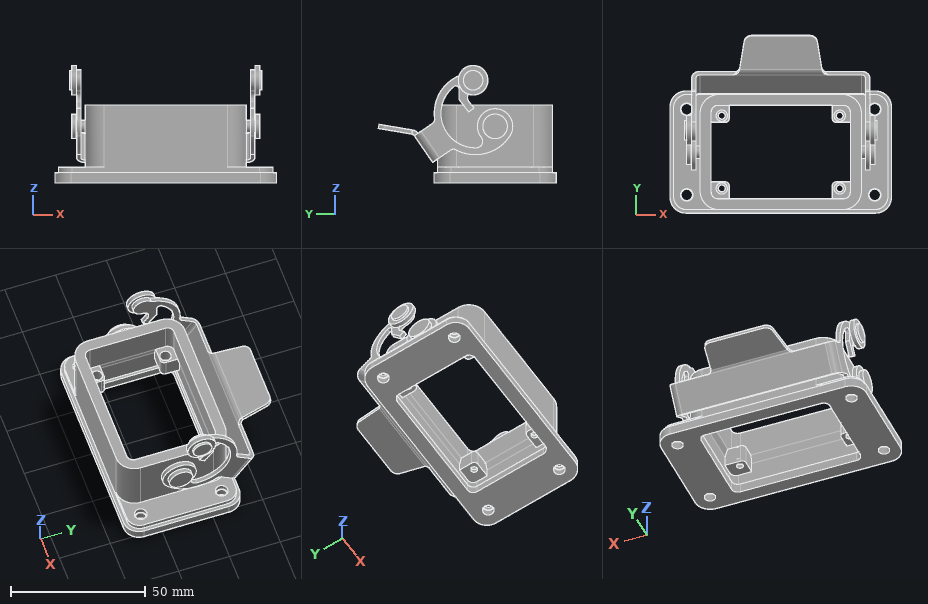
import cadquery as cq
import math

base_x = 82.5
base_y = 45.5
flange_h = 3.9
flange_r = 6.0
step_inset = 1.3
step_top = 5.9
step_r = 5.0
mount_hole_d = 4.2
mount_recess_d = 4.6
mount_recess_depth = 2.4
mount_hole_x = 35.0
mount_hole_y = 15.9

housing_x = 60.1
housing_y = base_y - 2 * step_inset
housing_top = 29.1
housing_r = 7.1
opening_x = 51.7
opening_y = 34.7
opening_r = 2.5

undercut_x = 1.1
undercut_y = 0.75
undercut_straight_top = 13.2
undercut_top = 16.8

boss_x = 6.8
boss_y = 6.35
boss_bottom = 9.15
boss_top = 16.75
boss_embed = 0.25
boss_r = 1.65
screw_x = 21.95
screw_y = 13.5
screw_d = 2.5
screw_bore_d = 4.2
screw_bore_depth = 5.8

sheet = 1.65
lever_outer_x = 33.2
lever_inner_x = lever_outer_x - sheet
bend_inner_r = 1.4
bend_outer_r = bend_inner_r + sheet

ring_y = 7.35
ring_z = 25.9
ring_outer_r = 15.35
ring_inner_r = 12.8

pivot_y = 0.0
pivot_z = 21.1
pivot_d = 4.7
pivot_embed = 0.8
pivot_head_d = 9.15
pivot_head_inner_x = 33.3
pivot_head_outer_x = 35.0
pivot_eye_r = ring_outer_r - math.hypot(ring_y - pivot_y, ring_z - pivot_z)

roller_y = 8.2
roller_z = 38.3
roller_r = 5.5
roller_outer_x = pivot_head_outer_x
roller_cap_r = 3.6
roller_cap_outer_x = 35.8
roller_eye_r = 4.0

eye_fillet = 2.4
tail_fillet = 1.15
neck_fillet = 1.65

tail_left_y = 13.45
tail_slant = 51.7
tail_tip_length = 3.0
tail_tip_width = 2.5
throat_r = 2.5
throat_y = 7.75
throat_z = roller_z - math.sqrt((roller_eye_r + throat_r) ** 2 - (roller_y - throat_y) ** 2)

yoke_tilt = -34.5
yoke_width = 12.05
yoke_reach = 23.4

tab_tilt = 9.6
tab_end_y = 43.5
tab_tip_half = 13.3
tab_root_half = 15.35
tab_flare_half = 18.3
tab_flare_r = 2.8
tab_tip_r = 2.9


def rounded_block(size_x, size_y, radius, z_from, z_to):
    return (cq.Workplane("XY").workplane(offset=z_from).rect(size_x, size_y)
            .extrude(z_to - z_from).edges("|Z").fillet(radius))


def four_corners(x, y):
    return [(sx * x, sy * y) for sx in (-1, 1) for sy in (-1, 1)]


def disc(y, z, radius, x_from, x_to):
    return (cq.Workplane("YZ").workplane(offset=x_from).center(y, z)
            .circle(radius).extrude(x_to - x_from))


def lever_point(u, v):
    """Y and Z of a point u along the yoke arms and v across them, from the ring centre."""
    tilt = math.radians(yoke_tilt)
    return (ring_y + u * math.cos(tilt) - v * math.sin(tilt),
            ring_z + u * math.sin(tilt) + v * math.cos(tilt))


def ring_point(radius, angle):
    return (ring_y + radius * math.cos(angle), ring_z + radius * math.sin(angle))


def make_base():
    flange = rounded_block(base_x, base_y, flange_r, 0, flange_h)
    step = rounded_block(base_x - 2 * step_inset, housing_y, step_r, 0, step_top)
    return (flange.union(step).faces(">Z").workplane(origin=(0, 0, 0))
            .pushPoints(four_corners(mount_hole_x, mount_hole_y))
            .cboreHole(mount_hole_d, mount_recess_d, mount_recess_depth))


def make_cavity():
    wide_x = opening_x + 2 * undercut_x
    wide_y = opening_y + 2 * undercut_y
    opening = rounded_block(opening_x, opening_y, opening_r, 0, housing_top)
    undercut = rounded_block(wide_x, wide_y, opening_r, flange_h, undercut_straight_top)
    wide = cq.Sketch().rect(wide_x, wide_y).vertices().fillet(opening_r)
    narrow = cq.Sketch().rect(opening_x, opening_y).vertices().fillet(opening_r)
    rise = cq.Location(cq.Vector(0, 0, undercut_top - undercut_straight_top))
    slope = (cq.Workplane("XY").workplane(offset=undercut_straight_top)
             .placeSketch(wide, narrow.moved(rise)).loft())
    return opening.union(undercut).union(slope)


def make_boss(side_x, side_y):
    inner_x = opening_x / 2 - boss_x
    inner_y = opening_y / 2 - boss_y
    reach_x = boss_x + undercut_x + boss_embed
    reach_y = boss_y + undercut_y + boss_embed
    block = (cq.Workplane("XY").workplane(offset=boss_bottom)
             .center(side_x * (inner_x + reach_x / 2), side_y * (inner_y + reach_y / 2))
             .rect(reach_x, reach_y).extrude(boss_top - boss_bottom))
    corner = cq.NearestToPointSelector((side_x * inner_x, side_y * inner_y, (boss_bottom + boss_top) / 2))
    block = block.edges("|Z").edges(corner).fillet(boss_r)
    return (block.faces(">Z").workplane(origin=(side_x * screw_x, side_y * screw_y, 0))
            .cboreHole(screw_d, screw_bore_d, screw_bore_depth))


def make_tail():
    """Hooked tail hanging from the roller eye, with its throat tangent to the eye."""
    slant = math.radians(tail_slant)
    along = (math.cos(slant), math.sin(slant))
    across = (math.sin(slant), -math.cos(slant))
    bend_y = throat_y + throat_r * across[0]
    bend_z = throat_z + throat_r * across[1]
    tip_y = bend_y - tail_tip_length * along[0]
    tip_z = bend_z - tail_tip_length * along[1]
    heel_y = tip_y + tail_tip_width * across[0]
    heel_z = tip_z + tail_tip_width * across[1]
    knee_z = heel_z + (tail_left_y - heel_y) * math.tan(slant)
    touch = throat_r / (throat_r + roller_eye_r)
    touch_y = throat_y + touch * (roller_y - throat_y)
    touch_z = throat_z + touch * (roller_z - throat_z)
    return (cq.Workplane("YZ").workplane(offset=lever_inner_x)
            .moveTo(tail_left_y, roller_z).lineTo(tail_left_y, knee_z)
            .lineTo(heel_y, heel_z).lineTo(tip_y, tip_z).lineTo(bend_y, bend_z)
            .threePointArc((throat_y + throat_r, throat_z), (touch_y, touch_z))
            .lineTo(roller_y, roller_z).close().extrude(sheet))


def make_side_plate():
    """Flat lever side at +X: curved arm, pivot eye, roller eye, hooked tail and yoke arm."""
    start = math.atan2(pivot_z - ring_z, pivot_y - ring_y)
    end = math.atan2(roller_z - ring_z, roller_y - ring_y)
    middle = (start + end) / 2
    flat = cq.Workplane("YZ").workplane(offset=lever_inner_x)
    plate = (flat.moveTo(*ring_point(ring_outer_r, start))
             .threePointArc(ring_point(ring_outer_r, middle), ring_point(ring_outer_r, end))
             .lineTo(*ring_point(ring_inner_r, end))
             .threePointArc(ring_point(ring_inner_r, middle), ring_point(ring_inner_r, start))
             .close().extrude(sheet))
    arm_start = (ring_inner_r + ring_outer_r) / 2
    arm_end = yoke_reach - bend_outer_r
    half = yoke_width / 2
    arm = flat.polyline([lever_point(arm_start, -half), lever_point(arm_end, -half),
                         lever_point(arm_end, half), lever_point(arm_start, half)]).close().extrude(sheet)
    ring_hole = disc(ring_y, ring_z, ring_inner_r, lever_inner_x, lever_outer_x)
    plate = plate.union(arm.cut(ring_hole))
    plate = plate.union(disc(pivot_y, pivot_z, pivot_eye_r, lever_inner_x, lever_outer_x))
    plate = plate.union(disc(roller_y, roller_z, roller_eye_r, lever_inner_x, lever_outer_x))
    plate = plate.union(make_tail())

    pivot_dist = math.hypot(ring_y - pivot_y, ring_z - pivot_z)
    eye_angle = start + math.acos((ring_inner_r ** 2 + pivot_dist ** 2 - pivot_eye_r ** 2)
                                  / (2 * ring_inner_r * pivot_dist))
    neck_u = math.sqrt(ring_outer_r ** 2 - half ** 2)
    tail_root_z = ring_z + math.sqrt(ring_inner_r ** 2 - (tail_left_y - ring_y) ** 2)
    corners = [(ring_point(ring_inner_r, eye_angle), eye_fillet),
               ((tail_left_y, tail_root_z), tail_fillet),
               (lever_point(neck_u, half), neck_fillet),
               (lever_point(neck_u, -half), neck_fillet)]
    for (y, z), radius in corners:
        nearest = cq.NearestToPointSelector((lever_inner_x + sheet / 2, y, z))
        plate = plate.edges("|X").edges(nearest).fillet(radius)
    return plate


def make_cross_plate():
    """Back of the yoke with its two bends into the side plates."""
    y, z = lever_point(0, -yoke_width / 2)
    tilt = math.radians(yoke_tilt)
    plane = cq.Plane(origin=(0, y, z), xDir=(1, 0, 0), normal=(0, -math.sin(tilt), math.cos(tilt)))
    bend_start = yoke_reach - bend_outer_r

    def channel(half_x, radius):
        reach = bend_start + radius
        return (cq.Workplane(plane).moveTo(-half_x, bend_start)
                .radiusArc((-half_x + radius, reach), radius).lineTo(half_x - radius, reach)
                .radiusArc((half_x, bend_start), radius).close().extrude(yoke_width))

    return channel(lever_outer_x, bend_outer_r).cut(channel(lever_inner_x, bend_inner_r))


def make_tab():
    """Grip tab bent outward from the upper edge of the cross plate."""
    upright = yoke_tilt + 90
    middle = (upright + tab_tilt) / 2
    bend_y, bend_z = lever_point(yoke_reach + bend_inner_r, yoke_width / 2)

    def bend_point(radius, angle):
        tilt = math.radians(angle)
        return (bend_y - radius * math.sin(tilt), bend_z + radius * math.cos(tilt))

    def bend_plane(radius, angle):
        """Plane tangent to the bend: local x along X, local y along the sheet toward the tip."""
        tilt = math.radians(angle)
        return cq.Plane(origin=(0, *bend_point(radius, angle)), xDir=(1, 0, 0),
                        normal=(0, -math.sin(tilt), math.cos(tilt)))

    bend = (cq.Workplane("YZ").workplane(offset=-tab_flare_half)
            .moveTo(*bend_point(bend_outer_r, upright))
            .threePointArc(bend_point(bend_outer_r, middle), bend_point(bend_outer_r, tab_tilt))
            .lineTo(*bend_point(bend_inner_r, tab_tilt))
            .threePointArc(bend_point(bend_inner_r, middle), bend_point(bend_inner_r, upright))
            .close().extrude(2 * tab_flare_half))
    half_length = bend_outer_r * math.sin(math.radians(upright - tab_tilt) / 2)
    flare = (cq.Workplane(bend_plane(0, middle)).moveTo(-tab_flare_half, -half_length)
             .radiusArc((-tab_root_half, half_length), -tab_flare_r)
             .lineTo(tab_root_half, half_length)
             .radiusArc((tab_flare_half, -half_length), -tab_flare_r)
             .close().extrude(bend_outer_r))

    tilt = math.radians(tab_tilt)
    length = (tab_end_y - bend_point(bend_inner_r, tab_tilt)[0]) / math.cos(tilt)
    blade = (cq.Workplane(bend_plane(bend_inner_r, tab_tilt))
             .polyline([(-tab_root_half, 0), (-tab_tip_half, length),
                        (tab_tip_half, length), (tab_root_half, 0)]).close().extrude(sheet))
    root_y, root_z = bend_point((bend_inner_r + bend_outer_r) / 2, tab_tilt)
    tip_y = root_y + length * math.cos(tilt)
    tip_z = root_z + length * math.sin(tilt)
    for side in (-1, 1):
        corner = cq.NearestToPointSelector((side * tab_tip_half, tip_y, tip_z))
        blade = blade.edges(corner).fillet(tab_tip_r)
    return bend.intersect(flare).union(blade)


def make_lever_side():
    side = make_side_plate()
    side = side.union(disc(pivot_y, pivot_z, pivot_d / 2, housing_x / 2 - pivot_embed, pivot_head_outer_x))
    side = side.union(disc(pivot_y, pivot_z, pivot_head_d / 2, pivot_head_inner_x, pivot_head_outer_x))
    side = side.union(disc(roller_y, roller_z, roller_r, lever_outer_x, roller_outer_x))
    return side.union(disc(roller_y, roller_z, roller_cap_r, roller_outer_x, roller_cap_outer_x))


body = make_base().union(rounded_block(housing_x, housing_y, housing_r, 0, housing_top))
body = body.cut(make_cavity())
for corner_x, corner_y in four_corners(1, 1):
    body = body.union(make_boss(corner_x, corner_y))

lever_side = make_lever_side()
lever = make_cross_plate().union(make_tab()).union(lever_side).union(lever_side.mirror("YZ"))
result = body.union(lever)